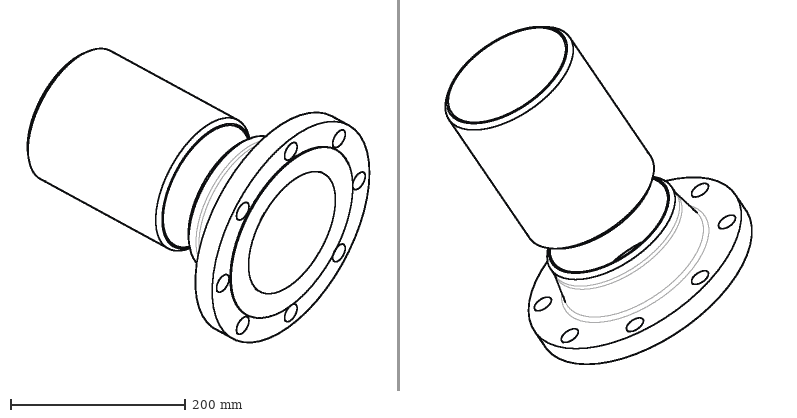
import cadquery as cq
import math

TOTAL_LENGTH = 331.7

PIPE_LENGTH = 203.0
PIPE_DIAMETER = 168.2
PIPE_BORE = 154.0

BEVEL_LENGTH = 5.3
BEVEL_DEPTH = 5.0

FLANGE_LENGTH = 89.2
FLANGE_DIAMETER = 279.3
FLANGE_BORE = 154.2
PLATE_THICKNESS = 25.5
RAISED_FACE_DIAMETER = 216.0
RAISED_FACE_HEIGHT = 1.5

NECK_DIAMETER = PIPE_DIAMETER
NECK_STRAIGHT_LENGTH = 15.5
CONE_ANGLE = math.radians(11.0)
NECK_BLEND_RADIUS = 25.0
PLATE_FILLET_RADIUS = 5.0

BOLT_COUNT = 8
BOLT_HOLE_DIAMETER = 22.2
BOLT_CIRCLE_DIAMETER = 241.5


def revolve_about_x(profile):
    """Close an (axial, radial) profile and revolve it about the X axis."""
    return profile.close().revolve(360, (0, 0, 0), (1, 0, 0))


def make_pipe():
    """Plain tube with a welding bevel around each end."""
    bore_radius = PIPE_BORE / 2
    outer_radius = PIPE_DIAMETER / 2
    land_radius = outer_radius - BEVEL_DEPTH
    profile = (
        cq.Workplane("XY")
        .moveTo(0, bore_radius)
        .lineTo(0, land_radius)
        .lineTo(BEVEL_LENGTH, outer_radius)
        .lineTo(PIPE_LENGTH - BEVEL_LENGTH, outer_radius)
        .lineTo(PIPE_LENGTH, land_radius)
        .lineTo(PIPE_LENGTH, bore_radius)
    )
    return revolve_about_x(profile)


def make_flange_blank():
    """Revolved flange: bevelled neck, blended cone, plate and raised face."""
    neck_end = TOTAL_LENGTH - FLANGE_LENGTH
    plate_front = TOTAL_LENGTH - RAISED_FACE_HEIGHT
    plate_back = plate_front - PLATE_THICKNESS
    bore_radius = FLANGE_BORE / 2
    neck_radius = NECK_DIAMETER / 2
    plate_radius = FLANGE_DIAMETER / 2
    raised_face_radius = RAISED_FACE_DIAMETER / 2

    blend_start = neck_end + NECK_STRAIGHT_LENGTH
    cone_start = blend_start + NECK_BLEND_RADIUS * math.sin(CONE_ANGLE)
    cone_start_radius = neck_radius + NECK_BLEND_RADIUS * (1 - math.cos(CONE_ANGLE))
    cone_end = plate_back - PLATE_FILLET_RADIUS * (1 - math.sin(CONE_ANGLE))
    cone_end_radius = cone_start_radius + (cone_end - cone_start) * math.tan(CONE_ANGLE)
    fillet_top_radius = cone_end_radius + PLATE_FILLET_RADIUS * math.cos(CONE_ANGLE)

    profile = (
        cq.Workplane("XY")
        .moveTo(neck_end, bore_radius)
        .lineTo(neck_end, neck_radius - BEVEL_DEPTH)
        .lineTo(neck_end + BEVEL_LENGTH, neck_radius)
        .lineTo(blend_start, neck_radius)
        .tangentArcPoint((cone_start, cone_start_radius), relative=False)
        .lineTo(cone_end, cone_end_radius)
        .tangentArcPoint((plate_back, fillet_top_radius), relative=False)
        .lineTo(plate_back, plate_radius)
        .lineTo(plate_front, plate_radius)
        .lineTo(plate_front, raised_face_radius)
        .lineTo(TOTAL_LENGTH, raised_face_radius)
        .lineTo(TOTAL_LENGTH, bore_radius)
    )
    return revolve_about_x(profile)


def make_bolt_holes():
    """Cutters for the bolt circle, running along X through the whole plate."""
    return (
        cq.Workplane("YZ", origin=(TOTAL_LENGTH, 0, 0))
        .polarArray(BOLT_CIRCLE_DIAMETER / 2, 0, 360, BOLT_COUNT)
        .circle(BOLT_HOLE_DIAMETER / 2)
        .extrude(-FLANGE_LENGTH)
    )


pipe = make_pipe()
flange = make_flange_blank().cut(make_bolt_holes())

result = cq.Compound.makeCompound([pipe.val(), *flange.solids().vals()])